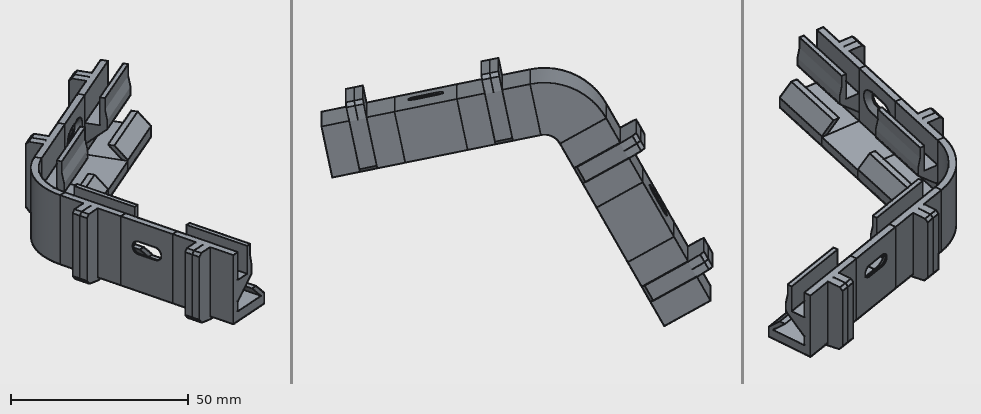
import cadquery as cq
turn_angle = 72.4
bend_radius = 19.9
clip_length = 21.0
plain_length = 17.9

section_width = 14.9
wall_height = 22.2
wall_thickness = 2.2
floor_thickness = 3.2

lip_inner = 6.7
lip_outer = 8.2
latch_nose = 8.9
latch_root_level = 6.4
nose_bottom = 12.3
latch_channel_bottom = 13.2
nose_top = 15.1
nose_blend_top = 18.4

hook_height = 7.5
hook_crest = 11.0
hook_root = 13.3
hook_tip = hook_root - (hook_height - floor_thickness)
hook_rim_height = hook_height - (section_width - hook_crest)

peg_width = 5.0
peg_depth = 5.2
peg_top_chamfer = 0.9
peg_foot_chamfer = 1.2
peg_foot_drop = 0.3
rib_depth = 1.0
slit_width = 0.01

slot_length = 10.0
slot_height = 4.1
slot_level = 13.9
slot_skin = 0.5
slot_flare_angle = 45.0


def cross_section(start):
    """Workplane across the first arm: x runs inwards from the outer wall face, y runs up."""
    return cq.Workplane(cq.Plane(origin=(start, 0, 0), xDir=(0, 1, 0), normal=(1, 0, 0)))


def plain_outline(start):
    """L-shaped outline of wall and floor."""
    return (
        cross_section(start)
        .moveTo(0, 0)
        .lineTo(section_width, 0)
        .lineTo(section_width, floor_thickness)
        .lineTo(wall_thickness, floor_thickness)
        .lineTo(wall_thickness, wall_height)
        .lineTo(0, wall_height)
        .close()
    )


def clip_outline(start):
    """Outline of wall and floor with the hook on the floor's rim and the latch on the wall."""
    return (
        cross_section(start)
        .moveTo(0, 0)
        .lineTo(section_width, 0)
        .lineTo(section_width, hook_rim_height)
        .lineTo(hook_crest, hook_height)
        .lineTo(hook_tip, hook_height)
        .lineTo(hook_root, floor_thickness)
        .lineTo(wall_thickness, floor_thickness)
        .lineTo(wall_thickness, latch_root_level)
        .lineTo(latch_nose, nose_bottom)
        .lineTo(latch_nose, nose_top)
        .lineTo(lip_outer, nose_blend_top)
        .lineTo(lip_outer, wall_height)
        .lineTo(lip_inner, wall_height)
        .lineTo(lip_inner, latch_channel_bottom)
        .lineTo(wall_thickness, latch_channel_bottom)
        .lineTo(wall_thickness, wall_height)
        .lineTo(0, wall_height)
        .close()
    )


def make_peg(center):
    """Upright rib outside the wall and its continuation under the floor."""
    return (
        cross_section(center)
        .moveTo(wall_thickness, wall_height)
        .lineTo(-peg_depth + peg_top_chamfer, wall_height)
        .lineTo(-peg_depth, wall_height - peg_top_chamfer)
        .lineTo(-peg_depth, peg_foot_chamfer)
        .lineTo(-peg_depth + peg_foot_chamfer, -peg_foot_drop)
        .lineTo(0, -rib_depth)
        .lineTo(section_width - rib_depth, -rib_depth)
        .lineTo(section_width, 0)
        .lineTo(wall_thickness, 0)
        .close()
        .extrude(peg_width / 2, both=True)
    )


def make_slit(center):
    """Thin cutter along the middle of a peg, from its tip to the outer wall face."""
    slit_height = wall_height + rib_depth
    slit = cq.Workplane("XY").box(slit_width, peg_depth, slit_height, centered=(True, False, False))
    return slit.translate((center, -peg_depth, -rib_depth))


def make_clip(start):
    """Clip segment of the first arm with its peg."""
    center = start + clip_length / 2
    clip = clip_outline(start).extrude(clip_length)
    return clip.union(make_peg(center)).cut(make_slit(center))


def make_slot(center):
    """Cutter for the straight slot together with its inward flare."""
    slot = (
        cq.Workplane("XZ")
        .center(center, slot_level)
        .slot2D(slot_length, slot_height)
        .extrude(-wall_thickness)
    )
    flare = (
        cq.Workplane("XZ", origin=(0, slot_skin, 0))
        .center(center, slot_level)
        .slot2D(slot_length, slot_height)
        .extrude(-(wall_thickness - slot_skin), taper=-slot_flare_angle)
    )
    return slot.union(flare)


def make_plain(start):
    """Plain segment of the first arm with a slot in the middle of its wall."""
    center = start + plain_length / 2
    return plain_outline(start).extrude(plain_length).cut(make_slot(center))


def make_bend():
    """Plain section swept around the vertical bend axis."""
    return plain_outline(0).revolve(turn_angle, (bend_radius, 0), (bend_radius, -1))


def on_second_arm(segment):
    """Carry a segment of the first arm to the matching place on the second arm."""
    mirrored = segment.mirror("YZ")
    return mirrored.rotate((0, bend_radius, 0), (0, bend_radius, 1), -turn_angle)


bend = make_bend()

clip_starts = [0, clip_length + plain_length]
clips = []
for clip_start in clip_starts:
    clip = make_clip(clip_start)
    clips += [clip, on_second_arm(clip)]

plain_segment = make_plain(clip_length)
plains = [plain_segment, on_second_arm(plain_segment)]

result = cq.Compound.makeCompound(
    [bend.val()] + [clip.val() for clip in clips] + [plain.val() for plain in plains]
)